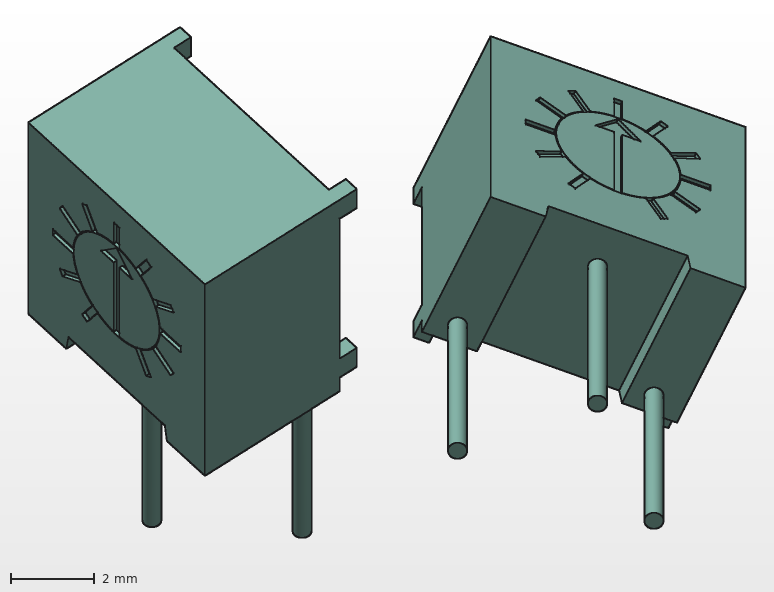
import cadquery as cq

body_width = 6.6
body_depth = 4.17
body_height = 7.0
overall_height = 12.46

overall_depth = 4.7
tab_width = 0.41
tab_height = 0.7

notch_height = 0.5
notch_top_width = 3.6
notch_bottom_width = 3.75

dial_diameter = 3.2
dial_bore_diameter = 3.25
dial_center_depth = 3.19
dial_center_z = body_height - dial_center_depth
engraving_depth = 0.1

mark_width = 0.21
mark_outer_radius = 2.39
mark_step = 30
mark_count = 11
first_mark_angle = -60

arrow_tip_height = 1.56
arrow_head_base_height = 0.93
arrow_head_width = 1.17
arrow_shaft_width = 0.21

pin_diameter = 0.46
pin_length = overall_height - body_height
pin_pitch = 2.54
middle_pin_x = -0.05
middle_pin_y = 1.13
outer_pin_y = middle_pin_y + pin_pitch


def make_body():
    block = cq.Workplane("XY").box(
        body_width, body_depth, body_height, centered=(True, False, False)
    )
    tab_x = (body_width - tab_width) / 2
    for x in (-tab_x, tab_x):
        for bottom_z in (notch_height, body_height - tab_height):
            tab = cq.Workplane("XY").box(
                tab_width, overall_depth, tab_height, centered=(True, False, False)
            )
            block = block.union(tab.translate((x, 0, bottom_z)))
    return block


def make_notch():
    return (
        cq.Workplane("XZ")
        .polyline([
            (-notch_bottom_width / 2, 0),
            (-notch_top_width / 2, notch_height),
            (notch_top_width / 2, notch_height),
            (notch_bottom_width / 2, 0),
        ])
        .close()
        .extrude(-body_depth)
    )


def dial_plane():
    """Front-face workplane centred on the dial; negative extrusions go into the body."""
    return cq.Workplane("XZ", origin=(0, 0, dial_center_z))


def make_dial_groove():
    return (
        dial_plane()
        .circle(dial_bore_diameter / 2)
        .circle(dial_diameter / 2)
        .extrude(-engraving_depth)
    )


def make_scale_marks():
    dial = dial_plane().circle(dial_diameter / 2).extrude(-engraving_depth)
    marks = cq.Workplane("XZ")
    for index in range(mark_count):
        mark = (
            dial_plane()
            .transformed(rotate=(0, 0, first_mark_angle + index * mark_step))
            .center(mark_outer_radius / 2, 0)
            .rect(mark_outer_radius, mark_width)
            .extrude(-engraving_depth)
        )
        marks = marks.union(mark)
    return marks.cut(dial)


def make_arrow():
    half_shaft = arrow_shaft_width / 2
    half_head = arrow_head_width / 2
    shaft_bottom = -dial_bore_diameter / 2
    arrow = (
        dial_plane()
        .polyline([
            (-half_shaft, shaft_bottom),
            (-half_shaft, arrow_head_base_height),
            (-half_head, arrow_head_base_height),
            (0, arrow_tip_height),
            (half_head, arrow_head_base_height),
            (half_shaft, arrow_head_base_height),
            (half_shaft, shaft_bottom),
        ])
        .close()
        .extrude(-engraving_depth)
    )
    bore = dial_plane().circle(dial_bore_diameter / 2).extrude(-engraving_depth)
    return arrow.intersect(bore)


def make_pins():
    positions = [
        (middle_pin_x - pin_pitch, outer_pin_y),
        (middle_pin_x, middle_pin_y),
        (middle_pin_x + pin_pitch, outer_pin_y),
    ]
    return (
        cq.Workplane("XY", origin=(0, 0, -pin_length))
        .pushPoints(positions)
        .circle(pin_diameter / 2)
        .extrude(pin_length + notch_height)
    )


result = (
    make_body()
    .cut(make_notch())
    .cut(make_dial_groove())
    .cut(make_scale_marks())
    .cut(make_arrow())
    .union(make_pins())
)